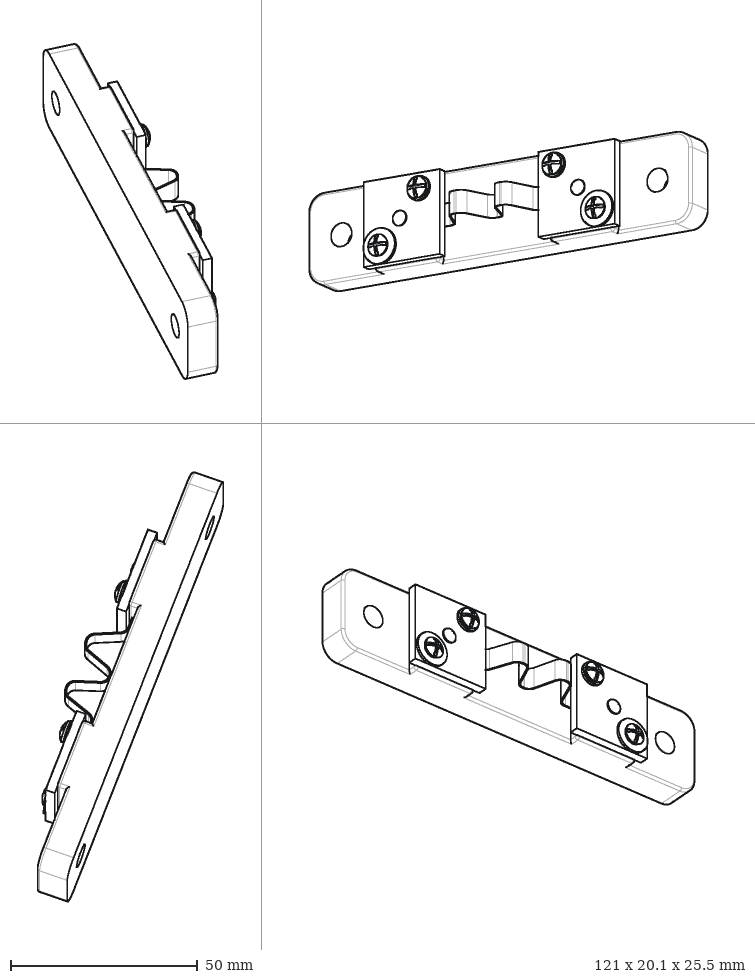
import cadquery as cq
import math

BASE_LENGTH = 121.0
BASE_THICKNESS = 8.7
HEIGHT = 25.5
CORNER_RADIUS = 5.0
HOLE_DIAMETER = 6.5
HOLE_SPACING = 100.0

RIM_RADIUS = 0.7

PAD_SPACING = 55.3
PAD_WIDTH = 20.1
PAD_TOP = 11.4
PAD_CORNER_RADIUS = 0.8
PLATE_WIDTH = 24.1
PLATE_HEIGHT = 23.7
PLATE_THICKNESS = 2.7
PLATE_BOTTOM = 11.3
PLATE_TOP = PLATE_BOTTOM + PLATE_THICKNESS

OUTER_SCREW_X = 34.4
OUTER_SCREW_Z = -6.9
OUTER_WASHER_DIAMETER = 9.9
LEFT_INNER_SCREW_X = -20.7
RIGHT_INNER_SCREW_X = 22.0
INNER_SCREW_Z = 7.4
INNER_WASHER_DIAMETER = 6.8
WASHER_THICKNESS = 0.7
NECK_DIAMETER = 5.6
HEAD_DIAMETER = 6.0
NECK_HEIGHT = 0.7
DOME_HEIGHT = 1.2
SLOT_WIDTH = 0.8
SLOT_DEPTH = 1.0

RIVET_X = 28.2
RIVET_DIAMETER = 4.2
RIVET_HEIGHT = 0.4

STRIP_TOP = 20.1
STRIP_THICKNESS = 0.42
STRIP_WIDTH = 6.4
STRIP_BEND_RADIUS = 2.4
STRIP_BOTTOM = 9.9
STRIP_CREST_DROP = 0.4
STRIP_EMBED = 1.2
STRIP_LOW_Y = STRIP_BOTTOM + STRIP_THICKNESS / 2
STRIP_FIRST_CREST_Y = STRIP_TOP - STRIP_THICKNESS / 2
STRIP_SECOND_CREST_Y = STRIP_FIRST_CREST_Y - STRIP_CREST_DROP
STRIP_END_X = PAD_SPACING / 2 - PAD_WIDTH / 2 + STRIP_EMBED
STRIP_CORNERS = [
    (-STRIP_END_X, STRIP_LOW_Y),
    (-12.8, STRIP_LOW_Y),
    (-9.2, STRIP_FIRST_CREST_Y),
    (-5.3, STRIP_FIRST_CREST_Y),
    (-2.2, STRIP_LOW_Y),
    (1.5, STRIP_LOW_Y),
    (5.2, STRIP_SECOND_CREST_Y),
    (9.1, STRIP_SECOND_CREST_Y),
    (13.1, STRIP_LOW_Y),
    (STRIP_END_X, STRIP_LOW_Y),
]


def facing_rear(x, y, z):
    """Workplane at a point whose normal is +Y."""
    return cq.Workplane("XZ", origin=(x, y, z)).transformed(rotate=(180, 0, 0))


def block(x, width, height, bottom, top, corner_radius=0.0):
    """Block centred on Z = 0 that rises along Y from bottom to top."""
    solid = facing_rear(x, bottom, 0).rect(width, height).extrude(top - bottom)
    if corner_radius:
        solid = solid.edges("|Y").fillet(corner_radius)
    return solid


def round_rear(solid):
    """Round the rim of the rear face."""
    return solid.faces(">Y").edges().fillet(RIM_RADIUS)


def base():
    plate = block(0, BASE_LENGTH, HEIGHT, 0, BASE_THICKNESS, CORNER_RADIUS)
    return round_rear(plate)


def mounting_holes():
    return (
        facing_rear(0, 0, 0)
        .pushPoints([(-HOLE_SPACING / 2, 0), (HOLE_SPACING / 2, 0)])
        .circle(HOLE_DIAMETER / 2)
        .extrude(BASE_THICKNESS)
    )


def screw(x, z, washer_diameter):
    """Washer and domed head with a cross slot, seated on the terminal plate."""
    neck_radius = NECK_DIAMETER / 2
    head_radius = HEAD_DIAMETER / 2
    neck_bottom = PLATE_TOP + WASHER_THICKNESS
    rim = neck_bottom + NECK_HEIGHT
    crown = rim + DOME_HEIGHT
    sphere_radius = (head_radius**2 + DOME_HEIGHT**2) / (2 * DOME_HEIGHT)
    half_angle = math.asin(head_radius / sphere_radius) / 2
    mid_x = sphere_radius * math.sin(half_angle)
    mid_y = crown - sphere_radius * (1 - math.cos(half_angle))

    head = (
        cq.Workplane("XY")
        .moveTo(0, PLATE_TOP)
        .lineTo(neck_radius, PLATE_TOP)
        .lineTo(neck_radius, neck_bottom)
        .lineTo(head_radius, rim)
        .threePointArc((mid_x, mid_y), (0, crown))
        .close()
        .revolve(360, (0, 0, 0), (0, 1, 0))
    )
    slot_bottom = crown - SLOT_DEPTH
    head = head.cut(block(0, HEAD_DIAMETER, SLOT_WIDTH, slot_bottom, crown))
    head = head.cut(block(0, SLOT_WIDTH, HEAD_DIAMETER, slot_bottom, crown))
    washer = facing_rear(0, PLATE_TOP, 0).circle(washer_diameter / 2).extrude(WASHER_THICKNESS)
    return washer.union(head).translate((x, 0, z))


def terminal(side, inner_screw_x):
    """Pad, terminal plate, screws and rivet on one side (-1 left, +1 right)."""
    x = side * PAD_SPACING / 2
    pad = round_rear(block(x, PAD_WIDTH, HEIGHT, 0, PAD_TOP, PAD_CORNER_RADIUS))
    plate = block(x, PLATE_WIDTH, PLATE_HEIGHT, PLATE_BOTTOM, PLATE_TOP)
    rivet = facing_rear(side * RIVET_X, PLATE_TOP, 0).circle(RIVET_DIAMETER / 2).extrude(RIVET_HEIGHT)
    return (
        pad.union(plate)
        .union(screw(side * OUTER_SCREW_X, OUTER_SCREW_Z, OUTER_WASHER_DIAMETER))
        .union(screw(inner_screw_x, INNER_SCREW_Z, INNER_WASHER_DIAMETER))
        .union(rivet)
    )


def strip():
    corners = [cq.Vector(x, y, 0) for x, y in STRIP_CORNERS]
    centre_line = cq.Wire.makePolygon(corners)
    centre_line = centre_line.fillet(STRIP_BEND_RADIUS, centre_line.Vertices()[1:-1])
    section = cq.Workplane("YZ", origin=corners[0].toTuple()).rect(STRIP_THICKNESS, STRIP_WIDTH)
    return section.sweep(cq.Workplane(centre_line))


result = base().cut(mounting_holes())
result = result.union(terminal(-1, LEFT_INNER_SCREW_X))
result = result.union(terminal(1, RIGHT_INNER_SCREW_X))
result = result.union(strip())